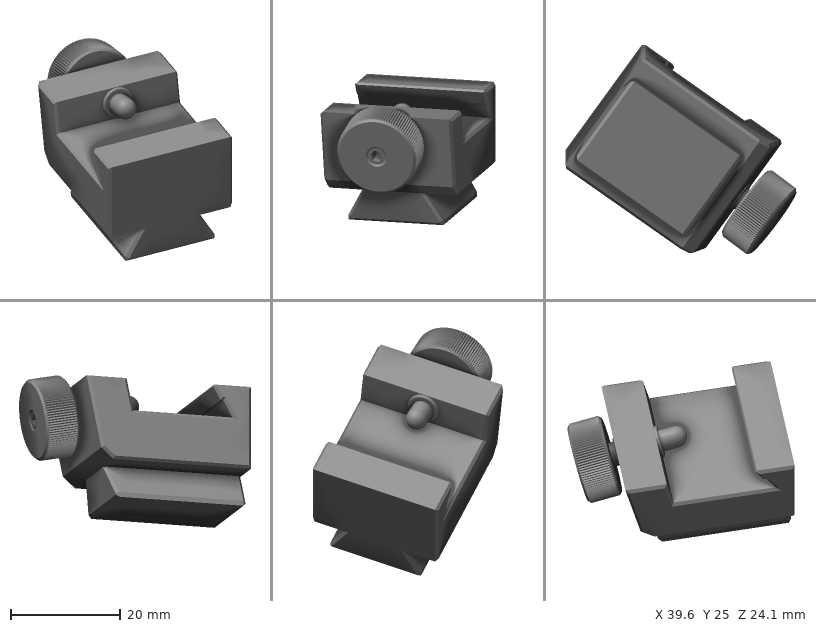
import cadquery as cq
import math

WIDTH = 25.0
LENGTH = 31.55
HEIGHT = 21.72
EDGE_CHAMFER = 0.5
JAW_TILT = 12.0
JAW_THICKNESS = 7.7
SLOT_DEPTH = 6.0
BLOCK_BOTTOM = 6.3
BEVEL_TOP = 8.32
BEVEL_END = 5.2

HOOK_TIP_X = 24.05
HOOK_TIP_DROP = 0.4
HOOK_TIP_SETBACK = 0.48
HOOK_ANGLE = 30.0
HOOK_STEP_DROP = 2.85
HOOK_STEP = 0.5

FOOT_WIDTH = 18.0
FOOT_EDGE = 0.9
FOOT_FLANK_ANGLE = 30.0
FOOT_END_ANGLE = 15.0

AXIS_FROM_TOP = 4.7
KNOB_DIAMETER = 15.1
KNOB_THICKNESS = 6.42
KNOB_GAP = 1.35
KNOB_CHAMFER = 0.5
TOOTH_COUNT = 100
TOOTH_DEPTH = 0.25
SHANK_DIAMETER = 4.5
SLEEVE_DIAMETER = 6.03
SLEEVE_CHAMFER = 0.2
SLEEVE_PROUD_OUTSIDE = 0.35
SLEEVE_PROUD_INSIDE = 0.55
PIN_DIAMETER = 4.0
PIN_TIP = 12.95

SCREW_DIAMETER = 3.35
SCREW_RECESS = 0.28
SCREW_LENGTH = 3.95
SOCKET_FLATS = 2.0
SOCKET_DEPTH = 2.77
SOCKET_TURN = 10.0
DRILL_POINT_ANGLE = 118.0

JAW_SLOPE = math.tan(math.radians(JAW_TILT))
SLOT_FLOOR = HEIGHT - SLOT_DEPTH
SLEEVE_START = -SLEEVE_PROUD_OUTSIDE
SLEEVE_END = JAW_THICKNESS * math.cos(math.radians(JAW_TILT)) + SLEEVE_PROUD_INSIDE
KNOB_BACK = -KNOB_GAP
KNOB_FACE = KNOB_BACK - KNOB_THICKNESS
SCREW_FACE = KNOB_FACE + SCREW_RECESS
SCREW_END = SCREW_FACE + SCREW_LENGTH


def clamp_plane(distance):
    """Plane across the clamp axis: local x along Y, local y up the jaw face, normal into the jaw."""
    tilt = math.radians(JAW_TILT)
    across = (math.cos(tilt), 0, math.sin(tilt))
    down = (math.sin(tilt), 0, -math.cos(tilt))
    origin = (
        AXIS_FROM_TOP * down[0] + distance * across[0],
        0,
        HEIGHT + AXIS_FROM_TOP * down[2] + distance * across[2],
    )
    return cq.Plane(origin=origin, xDir=(0, 1, 0), normal=across)


def clamp_cylinder(diameter, start, end):
    return cq.Workplane(clamp_plane(start)).circle(diameter / 2).extrude(end - start)


def make_block():
    """Upper block with the tilted jaw, the slot and the stepped hook jaw, chamfered on both sides."""
    hook_slope = math.tan(math.radians(HOOK_ANGLE))
    step_z = HEIGHT - HOOK_STEP_DROP
    step_x = HOOK_TIP_X + HOOK_STEP_DROP * hook_slope
    hook_root_x = step_x + HOOK_STEP + (step_z - SLOT_FLOOR) * hook_slope
    outline = [
        (0, HEIGHT),
        (JAW_THICKNESS, HEIGHT),
        (JAW_THICKNESS + SLOT_DEPTH * JAW_SLOPE, SLOT_FLOOR),
        (hook_root_x, SLOT_FLOOR),
        (step_x + HOOK_STEP, step_z),
        (step_x, step_z),
        (HOOK_TIP_X, HEIGHT),
        (LENGTH, HEIGHT),
        (LENGTH, BLOCK_BOTTOM),
        (BEVEL_END, BLOCK_BOTTOM),
        ((HEIGHT - BEVEL_TOP) * JAW_SLOPE, BEVEL_TOP),
    ]
    block = cq.Workplane("XZ").polyline(outline).close().extrude(WIDTH / 2, both=True)
    block = block.faces("<Y or >Y").chamfer(EDGE_CHAMFER)
    blunted_tip = [
        (HOOK_TIP_X, HEIGHT),
        (HOOK_TIP_X + HOOK_TIP_SETBACK, HEIGHT),
        (HOOK_TIP_X + HOOK_TIP_DROP * hook_slope, HEIGHT - HOOK_TIP_DROP),
    ]
    return block.cut(cq.Workplane("XZ").polyline(blunted_tip).close().extrude(WIDTH / 2, both=True))


def make_foot():
    """Dovetail foot with a sloping front end and chamfered end faces, reaching up to the block."""
    half = FOOT_WIDTH / 2
    neck = half - (BLOCK_BOTTOM - FOOT_EDGE) * math.tan(math.radians(FOOT_FLANK_ANGLE))
    section = [
        (-half, 0),
        (half, 0),
        (half, FOOT_EDGE),
        (neck, BLOCK_BOTTOM),
        (-neck, BLOCK_BOTTOM),
        (-half, FOOT_EDGE),
    ]
    bar = cq.Workplane("YZ").polyline(section).close().extrude(LENGTH)
    end_run = BLOCK_BOTTOM * math.tan(math.radians(FOOT_END_ANGLE))
    side = [
        (BEVEL_END, BLOCK_BOTTOM),
        (BEVEL_END + end_run, 0),
        (LENGTH, 0),
        (LENGTH, BLOCK_BOTTOM),
    ]
    foot = bar.intersect(cq.Workplane("XZ").polyline(side).close().extrude(half, both=True))
    end_edges = foot.faces("<X or >X").edges("not(>Z)")
    return end_edges.chamfer(EDGE_CHAMFER)


def make_housing():
    bore = clamp_cylinder(SLEEVE_DIAMETER, SLEEVE_START, SLEEVE_END)
    return make_block().union(make_foot()).cut(bore)


def make_knob():
    """Knurled disc with chamfered rims, a countersunk screw hole and a bore for the shank."""
    radius = KNOB_DIAMETER / 2
    half_pitch = math.pi / TOOTH_COUNT
    rim = []
    for i in range(2 * TOOTH_COUNT):
        angle = math.pi / 2 + i * half_pitch
        reach = radius - TOOTH_DEPTH if i % 2 == 0 else radius
        rim.append((reach * math.cos(angle), reach * math.sin(angle)))
    face = cq.Workplane(clamp_plane(KNOB_FACE))
    blank = face.circle(radius).extrude(KNOB_THICKNESS).edges().chamfer(KNOB_CHAMFER)
    knob = face.polyline(rim).close().extrude(KNOB_THICKNESS).intersect(blank)
    countersink = (
        face.circle(SCREW_DIAMETER / 2 + SCREW_RECESS)
        .workplane(offset=SCREW_RECESS)
        .circle(SCREW_DIAMETER / 2)
        .loft()
    )
    screw_hole = clamp_cylinder(SCREW_DIAMETER, SCREW_FACE, SCREW_END)
    shank_bore = clamp_cylinder(SHANK_DIAMETER, SCREW_END, KNOB_BACK)
    return knob.cut(countersink).cut(screw_hole).cut(shank_bore)


def make_set_screw():
    """Headless screw with a hexagon socket that ends in a drill point."""
    corner_diameter = SOCKET_FLATS / math.cos(math.pi / 6)
    socket = (
        cq.Workplane(clamp_plane(SCREW_FACE))
        .transformed(rotate=(0, 0, SOCKET_TURN))
        .polygon(6, corner_diameter)
        .extrude(SOCKET_DEPTH)
    )
    bottom = clamp_plane(SCREW_FACE + SOCKET_DEPTH)
    point_depth = SOCKET_FLATS / 2 / math.tan(math.radians(DRILL_POINT_ANGLE / 2))
    drill_point = cq.Solid.makeCone(SOCKET_FLATS / 2, 0, point_depth, bottom.origin, bottom.zDir)
    return clamp_cylinder(SCREW_DIAMETER, SCREW_FACE, SCREW_END).cut(socket).cut(cq.Workplane(drill_point))


def make_shank():
    return clamp_cylinder(SHANK_DIAMETER, SCREW_END, SLEEVE_START)


def make_sleeve():
    sleeve = clamp_cylinder(SLEEVE_DIAMETER, SLEEVE_START, SLEEVE_END).edges().chamfer(SLEEVE_CHAMFER)
    return sleeve.cut(clamp_cylinder(PIN_DIAMETER, SLEEVE_START, SLEEVE_END))


def make_pin():
    """Plain pin with a hemispherical tip."""
    radius = PIN_DIAMETER / 2
    dome_centre = PIN_TIP - radius
    dome = cq.Workplane(clamp_plane(dome_centre)).sphere(radius)
    return clamp_cylinder(PIN_DIAMETER, SLEEVE_START, dome_centre).union(dome)


housing = make_housing()
knob = make_knob()
set_screw = make_set_screw()
shank = make_shank()
sleeve = make_sleeve()
pin = make_pin()

result = cq.Compound.makeCompound(
    [housing.val(), knob.val(), set_screw.val(), shank.val(), sleeve.val(), pin.val()]
)